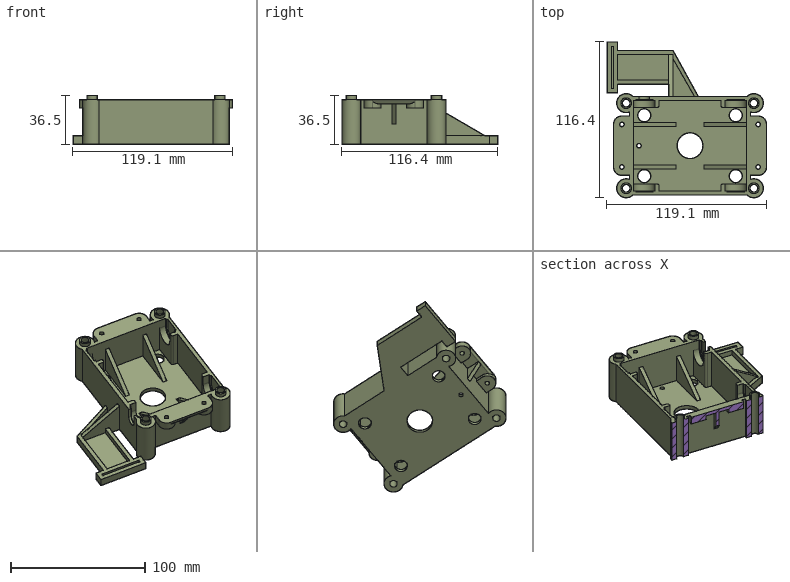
import cadquery as cq

INCH = 25.4

WALL = INCH / 8
FLOOR = INCH / 8
BOX_LENGTH = 90.4875
BOX_WIDTH = 73.6
BOX_HEIGHT = 33.3375
INNER_X = BOX_LENGTH / 2 - WALL
INNER_Y = BOX_WIDTH / 2 - WALL

CENTRE_HOLE_DIA = 19.05
CORNER_HOLE_DIA = 9.525
CORNER_HOLE_X = 34.13
CORNER_HOLE_Y = 22.7
SMALL_HOLE_DIA = 3.175
SMALL_HOLE_X = -38.1

POST_X = 47.625
POST_Y = 31.75
POST_DIA = 14.2875
SPIGOT_DIA = 7.9375
SPIGOT_HEIGHT = INCH / 8
SPIGOT_BORE_DIA = 5.55625

FLANGE_HOLE_X = 50.8
FLANGE_HOLE_Y = 15.875
FLANGE_HOLE_DIA = 3.175
FLANGE_BOSS_RADIUS = INCH / 4
FLANGE_THICKNESS = INCH / 8
FLANGE_EDGE_RADIUS = INCH / 16
FLANGE_BOSS_HEIGHT = INCH / 4
FLANGE_RIB_FOOT_Z = 15.0
FLANGE_REACH_X = FLANGE_HOLE_X + FLANGE_BOSS_RADIUS

RIB_THICKNESS = INCH / 8
RIB_LENGTH = 31.75
RIB_HEIGHT = 21.5
RIB_Y = FLANGE_HOLE_Y

SADDLE_LENGTH = 19.05
SADDLE_DEPTH = 5.05
SADDLE_EDGE_RADIUS = INCH / 16
SADDLE_BORE_DIA = 15.875
SADDLE_X = INNER_X - SADDLE_BORE_DIA / 2
SADDLE_Z = 25.4
SEAT_DIA = 12.7
SEAT_DEPTH = 1.0
SHAFT_SLOT_DIA = 7.9375

BRACKET_HEIGHT = INCH / 4
BRACKET_FLOOR = 2.38125
BRACKET_RIM = INCH / 8
BAR_LEFT_X = -61.9125
BAR_THICKNESS = 7.9375
BAR_LENGTH = 38.1
BAR_BOTTOM_Y = 39.45
BAR_SLOT_LENGTH = 31.3
BAR_SLOT_WIDTH = INCH / 16
BAR_SLOT_DEPTH = INCH / 8
ARM_WIDTH = 25.4
ARM_RIGHT_X = -12.7
BRACE_FOOT_X = 6.2
BRACE_POCKET_TOP_DROP = 6.4
BRACE_POCKET_FOOT_X = 3.3
GUSSET_HEIGHT = 24.5

BAR_RIGHT_X = BAR_LEFT_X + BAR_THICKNESS
BAR_CENTRE_Y = BAR_BOTTOM_Y + BAR_LENGTH / 2
ARM_BOTTOM_Y = BAR_CENTRE_Y - ARM_WIDTH / 2
ARM_TOP_Y = BAR_CENTRE_Y + ARM_WIDTH / 2
GUSSET_LEFT_X = ARM_RIGHT_X - BRACKET_RIM
OUTER_WALL_Y = BOX_WIDTH / 2

SIDES = (-1, 1)


def block(x0, x1, y0, y1, z0, z1):
    """Box between two opposite corners."""
    return cq.Workplane("XY").box(x1 - x0, y1 - y0, z1 - z0, centered=False).translate((x0, y0, z0))


def cylinder(x, y, diameter, z0, z1):
    """Vertical cylinder."""
    return cq.Workplane("XY", origin=(x, y, z0)).circle(diameter / 2).extrude(z1 - z0)


def prism(points, z0, z1):
    """Vertical prism over a polygon."""
    return cq.Workplane("XY", origin=(0, 0, z0)).polyline(points).close().extrude(z1 - z0)


def four_corners(x, y):
    """The four points mirrored about the X and Y axes."""
    return [(sx * x, sy * y) for sx in SIDES for sy in SIDES]


def box_blank():
    """Solid outer block of the box."""
    return block(-BOX_LENGTH / 2, BOX_LENGTH / 2, -BOX_WIDTH / 2, BOX_WIDTH / 2, 0, BOX_HEIGHT)


def box_cavity():
    """Interior of the box above its floor."""
    return block(-INNER_X, INNER_X, -INNER_Y, INNER_Y, FLOOR, BOX_HEIGHT)


def flange():
    """Flange on the +X end: two screw bosses joined by a thin plate with a supporting rib."""
    underside = BOX_HEIGHT - FLANGE_THICKNESS
    boss_base = BOX_HEIGHT - FLANGE_BOSS_HEIGHT
    wall_x = BOX_LENGTH / 2

    plate = block(INNER_X, FLANGE_REACH_X, -FLANGE_HOLE_Y, FLANGE_HOLE_Y, underside, BOX_HEIGHT)
    body = plate.faces("<Z").edges(">X").fillet(FLANGE_EDGE_RADIUS)

    rib_profile = [
        (INNER_X, underside),
        (FLANGE_REACH_X - FLANGE_EDGE_RADIUS, underside),
        (wall_x, FLANGE_RIB_FOOT_Z),
        (INNER_X, FLANGE_RIB_FOOT_Z),
    ]
    rib = cq.Workplane("XZ").polyline(rib_profile).close().extrude(RIB_THICKNESS / 2, both=True)
    body = body.union(rib)

    for side in SIDES:
        y = side * FLANGE_HOLE_Y
        boss = cylinder(FLANGE_HOLE_X, y, 2 * FLANGE_BOSS_RADIUS, boss_base, BOX_HEIGHT)
        y_low = y - FLANGE_BOSS_RADIUS
        y_high = y + FLANGE_BOSS_RADIUS
        web = block(INNER_X, FLANGE_HOLE_X, y_low, y_high, boss_base, BOX_HEIGHT)
        hole = cylinder(FLANGE_HOLE_X, y, FLANGE_HOLE_DIA, boss_base, BOX_HEIGHT)
        body = body.union(boss).union(web).cut(hole)
    return body


def inner_rib(y):
    """Triangular rib between the floor and the +X wall."""
    profile = [
        (INNER_X + WALL / 2, FLOOR / 2),
        (INNER_X - RIB_LENGTH, FLOOR / 2),
        (INNER_X - RIB_LENGTH, FLOOR),
        (INNER_X, FLOOR + RIB_HEIGHT),
        (INNER_X + WALL / 2, FLOOR + RIB_HEIGHT),
    ]
    rib = cq.Workplane("XZ", origin=(0, y, 0)).polyline(profile).close()
    return rib.extrude(RIB_THICKNESS / 2, both=True)


def open_bore(diameter, y0, y1):
    """Bore along Y at the +X saddle, open upwards to the top of the box."""
    radius = diameter / 2
    profile = (
        cq.Workplane("XZ", origin=(SADDLE_X, y0, 0))
        .moveTo(-radius, BOX_HEIGHT)
        .lineTo(-radius, SADDLE_Z)
        .threePointArc((0, SADDLE_Z - radius), (radius, SADDLE_Z))
        .lineTo(radius, BOX_HEIGHT)
        .close()
    )
    return profile.extrude(y0 - y1)


def saddle_pad():
    """Full-height pad filling the +X +Y inner corner, inner edge rounded."""
    pad = block(INNER_X - SADDLE_LENGTH, INNER_X, INNER_Y - SADDLE_DEPTH, INNER_Y, FLOOR, BOX_HEIGHT)
    return pad.edges("|Z and <X and <Y").fillet(SADDLE_EDGE_RADIUS)


def saddle_cut():
    """Bearing bore through the pad and the shallower seat behind it."""
    bore = open_bore(SADDLE_BORE_DIA, INNER_Y - SADDLE_DEPTH, INNER_Y)
    return bore.union(open_bore(SEAT_DIA, INNER_Y - SADDLE_DEPTH, INNER_Y + SEAT_DEPTH))


def at_ends(feature):
    """The feature and its mirror image at the -X end."""
    return feature.union(feature.mirror("YZ"))


def at_corners(feature):
    """The feature mirrored to all four corners of the box."""
    half = at_ends(feature)
    return half.union(half.mirror("XZ"))


def bracket():
    """T-shaped tray with a slotted end bar, carried by a diagonal brace and a gusset."""
    bar = block(BAR_LEFT_X, BAR_RIGHT_X, BAR_BOTTOM_Y, BAR_BOTTOM_Y + BAR_LENGTH, 0, BRACKET_HEIGHT)
    bar_mid_x = (BAR_LEFT_X + BAR_RIGHT_X) / 2
    slot = block(
        bar_mid_x - BAR_SLOT_WIDTH / 2,
        bar_mid_x + BAR_SLOT_WIDTH / 2,
        BAR_CENTRE_Y - BAR_SLOT_LENGTH / 2,
        BAR_CENTRE_Y + BAR_SLOT_LENGTH / 2,
        BRACKET_HEIGHT - BAR_SLOT_DEPTH,
        BRACKET_HEIGHT,
    )

    arm = block(BAR_RIGHT_X, ARM_RIGHT_X, ARM_BOTTOM_Y, ARM_TOP_Y, 0, BRACKET_HEIGHT)
    arm_pocket = block(
        BAR_RIGHT_X,
        GUSSET_LEFT_X,
        ARM_BOTTOM_Y + BRACKET_RIM,
        ARM_TOP_Y - BRACKET_RIM,
        BRACKET_FLOOR,
        BRACKET_HEIGHT,
    )

    brace_outline = [
        (GUSSET_LEFT_X, OUTER_WALL_Y),
        (GUSSET_LEFT_X, ARM_TOP_Y),
        (ARM_RIGHT_X, ARM_TOP_Y),
        (BRACE_FOOT_X, OUTER_WALL_Y),
    ]
    pocket_outline = [
        (ARM_RIGHT_X, OUTER_WALL_Y),
        (ARM_RIGHT_X, ARM_TOP_Y - BRACE_POCKET_TOP_DROP),
        (BRACE_POCKET_FOOT_X, OUTER_WALL_Y),
    ]
    brace = prism(brace_outline, 0, BRACKET_HEIGHT)
    brace_pocket = prism(pocket_outline, BRACKET_FLOOR, BRACKET_HEIGHT)

    gusset_profile = [
        (OUTER_WALL_Y, 0),
        (OUTER_WALL_Y, GUSSET_HEIGHT),
        (ARM_TOP_Y - BRACKET_RIM, BRACKET_HEIGHT),
        (ARM_TOP_Y - BRACKET_RIM, 0),
    ]
    gusset = cq.Workplane("YZ", origin=(GUSSET_LEFT_X, 0, 0)).polyline(gusset_profile).close()
    gusset = gusset.extrude(BRACKET_RIM)

    frame = bar.cut(slot).union(arm).union(brace)
    return frame.cut(arm_pocket).cut(brace_pocket).union(gusset)


def add_posts(body):
    """Corner posts and their spigots."""
    for x, y in four_corners(POST_X, POST_Y):
        body = body.union(cylinder(x, y, POST_DIA, 0, BOX_HEIGHT))
        body = body.union(cylinder(x, y, SPIGOT_DIA, BOX_HEIGHT, BOX_HEIGHT + SPIGOT_HEIGHT))
    return body


def cut_post_bores(body):
    """Through bore down each post and spigot."""
    for x, y in four_corners(POST_X, POST_Y):
        body = body.cut(cylinder(x, y, SPIGOT_BORE_DIA, 0, BOX_HEIGHT + SPIGOT_HEIGHT))
    return body


def add_inner_ribs(body):
    """Two ribs against each end wall."""
    for side in SIDES:
        body = body.union(at_ends(inner_rib(side * RIB_Y)))
    return body


def cut_floor_holes(body):
    """Central opening, small hole near the -X end and four corner holes."""
    body = body.cut(cylinder(0, 0, CENTRE_HOLE_DIA, 0, FLOOR))
    body = body.cut(cylinder(SMALL_HOLE_X, 0, SMALL_HOLE_DIA, 0, FLOOR))
    for x, y in four_corners(CORNER_HOLE_X, CORNER_HOLE_Y):
        body = body.cut(cylinder(x, y, CORNER_HOLE_DIA, 0, FLOOR))
    return body


def shaft_slot():
    """Slot through the +Y wall behind the -X saddle."""
    return open_bore(SHAFT_SLOT_DIA, INNER_Y, OUTER_WALL_Y).mirror("YZ")


body = add_posts(box_blank()).cut(box_cavity())
body = cut_post_bores(body)
body = body.union(at_ends(flange()))
body = add_inner_ribs(body)
body = body.union(at_corners(saddle_pad())).cut(at_corners(saddle_cut()))
body = body.cut(shaft_slot())
body = cut_floor_holes(body)

result = body.union(bracket())